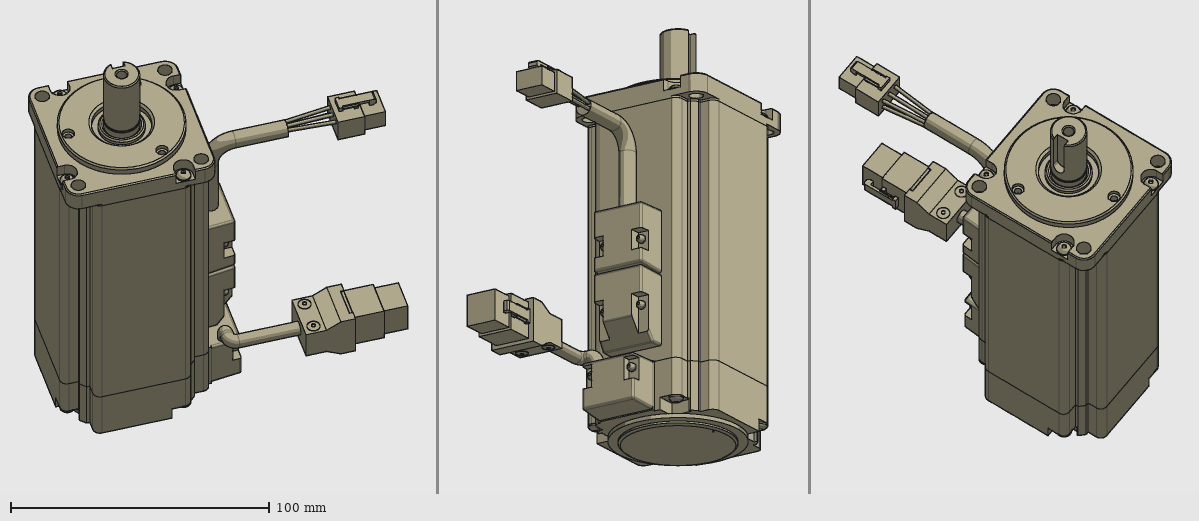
import cadquery as cq
import math


total_height = 169.7
width = 60.0
half_width = width / 2

shaft_length = 30.0
flange_face = total_height - shaft_length
flange_thickness = 7.8
flange_bottom = flange_face - flange_thickness
flange_step = 0.8
frame_top = flange_bottom - flange_step
cover_top = 24.0
cover_bottom = 3.5
rear_plate_bottom = 1.9
rear_disc_bottom = 0.25

face_half_width = 16.8
lobe_radius = 2.9
boss_half_width = 23.2
boss_chamfer_start = 21.0

flange_corner_radius = 5.3
flange_chamfer = 0.5
bolt_offset = 24.8
bolt_hole_radius = 5.6 / 2
pilot_radius = 25.0
pilot_height = 3.0
pilot_chamfer = 0.7
pilot_top = flange_face + pilot_height
jack_hole_circle = 21.5
jack_counterbore_radius = 2.4
jack_hole_radius = 1.4
jack_counterbore_depth = 1.7
jack_hole_depth = 5.1
jack_hole_angles = (30, 150, 270)
seal_bore_radius = 11.7
seal_bore_chamfer = 1.0
seal_bore_depth = 3.0
seal_lip_radius = 9.2
seal_lip_height = 2.0
seal_lip_chamfer = 0.7

screw_x = 17.0
screw_y = -27.0
screw_head_radius = 2.9
screw_head_height = 2.2
front_slot_radius = 3.9
front_slot_depth = 5.0
rear_pocket_left = 11.5
rear_pocket_right = 20.4
rear_pocket_inset = 8.1
rear_pocket_height = 5.1

shaft_radius = 14.1 / 2
shaft_chamfer = 0.5
key_width = 5.1
key_floor = 3.9
key_bottom = 149.5
ring_groove_level = 144.0
ring_groove_width = 0.8
ring_groove_depth = 0.2
centre_hole_radius = 2.0
centre_hole_chamfer = 0.5
centre_hole_depth = 10.2

rear_plate_radius = 27.2
rear_disc_radius = 23.2
rear_disc_chamfer = 0.8
nub_radius = 0.3
nub_x = -20.2
nub_y = 6.0

outlet_face = 42.6
outlet_base_half_width = 12.0
outlet_face_half_width = 11.0
outlet_edge_radius = 0.8
power_outlet_top = 85.9
power_outlet_bottom = 61.1
blank_outlet_top = 60.0
blank_outlet_slope_top = 39.5
blank_outlet_bottom = 29.9
blank_outlet_slope_end = 35.1
power_outlet_draft = 1.2
blank_outlet_draft = 0.8
power_notch = (66.7, 75.0)
power_outlet_screw_z = 72.0
blank_notch = (32.2, 48.5)
blank_outlet_screw_z = 44.8
outlet_notch_floor = 38.0
outlet_notch_depth = 4.4
outlet_screw_radius = 1.7
outlet_screw_height = 2.7

encoder_outlet_x = 3.7
encoder_outlet_face = 43.8
encoder_outlet_base_half_width = 12.7
encoder_outlet_face_half_width = 11.9
encoder_outlet_bottom = 4.4
encoder_outlet_draft = 0.3
encoder_notch = (13.2, 22.5)
encoder_outlet_screw_z = 19.0
encoder_notch_floor = 40.2
outlet_rim_thickness = 1.4

power_cable_radius = 3.4
power_cable_y = 35.5
power_cable_z = 119.6
power_bend_radius = 9.7
power_cable_end = 66.4
wire_radius = 0.76
wire_overlap = 0.5
wire_spacing_at_cable = 2.2
wire_spacing_at_connector = 4.0
wire_rise_at_cable = 1.2
wire_rise_at_connector = 2.0
power_connector_back = 85.2
power_connector_step = 96.0
power_connector_front = 104.7
power_rear_size = (14.3, 9.8)
power_front_size = (11.9, 7.8)
power_latch_front = 102.2

encoder_cable_radius = 2.7
encoder_riser_x = 12.7
encoder_cable_y = 37.7
encoder_cable_z = 28.3
encoder_bend_radius = 3.2
connector_x = 20.4
shell_back = 65.5
shell_neck_end = 73.8
shell_slope_end = 79.6
shell_front = 85.5
shell_half_width = half_width - connector_x
shell_half_height = 9.0
shell_neck_half_height = 6.0
encoder_connector_step = 97.7
encoder_connector_front = 107.6
encoder_rear_size = (15.0, 15.0)
encoder_front_size = (12.9, 12.9)
encoder_latch_front = 104.4
clamp_screw_offset = 6.1
clamp_screw_y = 69.5
clamp_screw_radius = 2.5
clamp_screw_height = 0.7
label_groove_width = 12.2
label_groove_length = 1.4
label_groove_depth = 0.5

latch_length = 15.3
latch_half_width = 2.0
latch_plate_half_width = 2.9
latch_top = 3.0
latch_underside = 1.9
latch_hook_length = 2.7
latch_stem_start = 7.1
latch_stem_end = 8.8
latch_heel_length = 1.5
latch_heel_bottom = 1.2
latch_tip_bevel = 0.7
latch_plate_thickness = 0.5

QUARTER_TURNS = (0, 90, 180, 270)


def block(x_range, y_range, z_range):
    """A box given by its lower and upper limit along each axis."""
    (x0, x1), (y0, y1), (z0, z1) = x_range, y_range, z_range
    return cq.Workplane("XY").box(x1 - x0, y1 - y0, z1 - z0, centered=False).translate((x0, y0, z0))


def disc(radius, z_bottom, z_top):
    """A solid cylinder on the Z axis."""
    return cq.Workplane("XY").workplane(offset=z_bottom).circle(radius).extrude(z_top - z_bottom)


def countersink(hole_radius, depth, z_top):
    """A 45 degree cone that widens a hole up to the face at z_top."""
    base = cq.Vector(0, 0, z_top - depth)
    return cq.Workplane(cq.Solid.makeCone(hole_radius, hole_radius + depth, depth, base))


def with_quarter_turn_screws(body, pocket, head):
    """Cut the pocket and seat the screw head in it, four times around the motor axis."""
    for angle in QUARTER_TURNS:
        body = body.cut(pocket.rotate((0, 0, 0), (0, 0, 1), angle))
        body = body.union(head.rotate((0, 0, 0), (0, 0, 1), angle))
    return body


def domed_head(radius, height):
    """A domed screw head standing on Z = 0, with a round recess in its crown."""
    shoulder = height * 0.3
    dome = (
        cq.Workplane("XZ")
        .lineTo(radius, 0)
        .lineTo(radius, shoulder)
        .threePointArc((radius * 0.6, height * 0.83), (0, height))
        .close()
        .revolve(360, (0, 0, 0), (0, 1, 0))
    )
    return dome.cut(disc(radius * 0.3, height / 2, height * 2))


def frame_section(z_bottom, z_top):
    """The square motor section: four flat faces with rounded lobes, a stepped boss in each corner."""
    lobe_edge = face_half_width + lobe_radius
    lobe_start = half_width - lobe_radius
    mid = lobe_radius * math.sqrt(0.5)
    outline = cq.Workplane("XY").workplane(offset=z_bottom).moveTo(half_width, -face_half_width)
    for angle in QUARTER_TURNS:
        cosine = round(math.cos(math.radians(angle)))
        sine = round(math.sin(math.radians(angle)))

        def turned(x, y):
            return (x * cosine - y * sine, x * sine + y * cosine)

        outline = (
            outline.lineTo(*turned(half_width, face_half_width))
            .threePointArc(turned(lobe_start + mid, face_half_width + mid), turned(lobe_start, lobe_edge))
            .lineTo(*turned(boss_half_width, lobe_edge))
            .lineTo(*turned(boss_half_width, boss_chamfer_start))
            .lineTo(*turned(boss_chamfer_start, boss_half_width))
            .lineTo(*turned(lobe_edge, boss_half_width))
            .lineTo(*turned(lobe_edge, lobe_start))
            .threePointArc(turned(face_half_width + mid, lobe_start + mid), turned(face_half_width, half_width))
        )
    return outline.close().extrude(z_top - z_bottom)


def drafted_outlet(side_outline, base_half_width, face_half_width_x, base_y, face_y):
    """A box on the +Y side: a YZ side outline whose width narrows towards its outer face."""
    side = cq.Workplane("YZ").polyline(side_outline).close().extrude(base_half_width, both=True)
    plan = (
        cq.Workplane("XY")
        .polyline(
            [
                (-base_half_width, base_y),
                (base_half_width, base_y),
                (face_half_width_x, face_y),
                (-face_half_width_x, face_y),
            ]
        )
        .close()
        .extrude(total_height)
    )
    return side.intersect(plan).edges("not <Y").fillet(outlet_edge_radius)


def with_side_screws(outlet, x_half_width, notch_floor, notch_z_range, screw_z):
    """Cut a screw notch into both sides of an outlet and seat a domed screw in each."""
    inner = x_half_width - outlet_notch_depth
    head = domed_head(outlet_screw_radius, outlet_screw_height).rotate((0, 0, 0), (1, 0, 0), -90)
    for side in (-1, 1):
        x_range = sorted((side * inner, side * half_width))
        outlet = outlet.cut(block(x_range, (notch_floor, half_width * 2), notch_z_range))
        outlet = outlet.union(head.translate((side * (inner + outlet_screw_radius), notch_floor, screw_z)))
    return outlet


def make_flange():
    flange = (
        cq.Workplane("XY")
        .workplane(offset=flange_bottom)
        .rect(width, width)
        .extrude(flange_thickness)
        .edges("|Z")
        .fillet(flange_corner_radius)
        .faces(">Z")
        .edges()
        .chamfer(flange_chamfer)
    )
    flange = flange.union(frame_section(frame_top, flange_bottom))
    flange = flange.union(disc(pilot_radius, flange_face, pilot_top).faces(">Z").edges().chamfer(pilot_chamfer))

    for x in (-bolt_offset, bolt_offset):
        for y in (-bolt_offset, bolt_offset):
            flange = flange.cut(disc(bolt_hole_radius, frame_top, flange_face).translate((x, y, 0)))

    jack_hole = disc(jack_counterbore_radius, pilot_top - jack_counterbore_depth, pilot_top)
    jack_hole = jack_hole.union(disc(jack_hole_radius, pilot_top - jack_hole_depth, pilot_top))
    for angle in jack_hole_angles:
        flange = flange.cut(jack_hole.translate((jack_hole_circle, 0, 0)).rotate((0, 0, 0), (0, 0, 1), angle))

    seal_floor = pilot_top - seal_bore_depth
    flange = flange.cut(disc(seal_bore_radius, seal_floor, pilot_top))
    flange = flange.cut(countersink(seal_bore_radius, seal_bore_chamfer, pilot_top))
    lip_top = seal_floor + seal_lip_height
    lip = disc(seal_lip_radius, seal_floor, lip_top).faces(">Z").edges().chamfer(seal_lip_chamfer)
    flange = flange.union(lip).cut(disc(shaft_radius, frame_top, pilot_top))
    flange = flange.cut(countersink(shaft_radius, seal_lip_chamfer, lip_top))

    slot_floor = flange_face - front_slot_depth
    slot = disc(front_slot_radius, slot_floor, flange_face).translate((screw_x, screw_y, 0))
    slot = slot.union(
        block(
            (screw_x - front_slot_radius, screw_x + front_slot_radius),
            (-half_width, screw_y),
            (slot_floor, flange_face),
        )
    )
    head = domed_head(screw_head_radius, screw_head_height).translate((screw_x, screw_y, slot_floor))
    return with_quarter_turn_screws(flange, slot, head)


def make_shaft():
    shaft = disc(shaft_radius, frame_top, total_height).faces(">Z").edges().chamfer(shaft_chamfer)
    groove = disc(shaft_radius, ring_groove_level, ring_groove_level + ring_groove_width)
    groove = groove.cut(disc(shaft_radius - ring_groove_depth, frame_top, total_height))
    shaft = shaft.cut(groove)

    key_round_centre = key_bottom + key_width / 2
    keyway = block(
        (-shaft_radius, -key_floor), (-key_width / 2, key_width / 2), (key_round_centre, total_height)
    )
    key_end = (
        cq.Workplane("YZ")
        .workplane(offset=-shaft_radius)
        .center(0, key_round_centre)
        .circle(key_width / 2)
        .extrude(shaft_radius - key_floor)
    )
    shaft = shaft.cut(keyway.union(key_end))

    centre_hole = disc(centre_hole_radius, total_height - centre_hole_depth, total_height)
    shaft = shaft.cut(centre_hole)
    return shaft.cut(countersink(centre_hole_radius, centre_hole_chamfer, total_height))


def make_frame():
    frame = frame_section(cover_top, frame_top)

    power_outlet = drafted_outlet(
        [
            (half_width, power_outlet_bottom - power_outlet_draft),
            (half_width, power_outlet_top),
            (outlet_face, power_outlet_top),
            (outlet_face, power_outlet_bottom),
        ],
        outlet_base_half_width,
        outlet_face_half_width,
        half_width,
        outlet_face,
    )
    power_outlet = with_side_screws(
        power_outlet, outlet_face_half_width, outlet_notch_floor, power_notch, power_outlet_screw_z
    )

    blank_outlet = drafted_outlet(
        [
            (half_width, blank_outlet_bottom),
            (half_width, blank_outlet_top - blank_outlet_draft),
            (outlet_face, blank_outlet_top),
            (outlet_face, blank_outlet_slope_top),
            (blank_outlet_slope_end, blank_outlet_bottom),
        ],
        outlet_base_half_width,
        outlet_face_half_width,
        half_width,
        outlet_face,
    )
    blank_outlet = with_side_screws(
        blank_outlet, outlet_face_half_width, outlet_notch_floor, blank_notch, blank_outlet_screw_z
    )
    return frame.union(power_outlet).union(blank_outlet)


def make_encoder_cover():
    cover = frame_section(cover_bottom, cover_top)
    plate = disc(rear_plate_radius, rear_plate_bottom, cover_bottom)
    rear_disc = disc(rear_disc_radius, rear_disc_bottom, rear_plate_bottom)
    rear_disc = rear_disc.faces("<Z").edges().chamfer(rear_disc_chamfer)
    nub = disc(nub_radius, 0, rear_disc_bottom).translate((nub_x, nub_y, 0))

    pocket_top = cover_bottom + rear_pocket_height
    pocket = block(
        (rear_pocket_left, rear_pocket_right),
        (-half_width, rear_pocket_inset - half_width),
        (cover_bottom, pocket_top),
    )
    head = domed_head(screw_head_radius, screw_head_height).rotate((0, 0, 0), (1, 0, 0), 180)
    head = head.translate((screw_x, screw_y, pocket_top))
    cover = with_quarter_turn_screws(cover, pocket, head)

    rim_face = half_width + outlet_rim_thickness
    rim = block(
        (-encoder_outlet_base_half_width, encoder_outlet_base_half_width),
        (half_width, rim_face),
        (cover_bottom, cover_top),
    )
    outlet = drafted_outlet(
        [
            (rim_face, encoder_outlet_bottom - encoder_outlet_draft),
            (rim_face, cover_top),
            (encoder_outlet_face, cover_top),
            (encoder_outlet_face, encoder_outlet_bottom + encoder_outlet_draft),
        ],
        encoder_outlet_base_half_width,
        encoder_outlet_face_half_width,
        rim_face,
        encoder_outlet_face,
    )
    outlet = with_side_screws(
        outlet, encoder_outlet_face_half_width, encoder_notch_floor, encoder_notch, encoder_outlet_screw_z
    )
    outlet = outlet.union(rim).translate((encoder_outlet_x, 0, 0))
    return cover.union(plate).union(rear_disc).union(nub).union(outlet)


def make_latch():
    """A latch lever on Z = 0 pointing along +Y, with its front tip at Y = 0."""
    heel_start = latch_heel_length - latch_length
    lever = (
        cq.Workplane("YZ")
        .polyline(
            [
                (0, latch_top - latch_tip_bevel),
                (-latch_tip_bevel, latch_top),
                (-latch_length, latch_top),
                (-latch_length, latch_heel_bottom),
                (heel_start, latch_heel_bottom),
                (heel_start, latch_underside),
                (-latch_hook_length, latch_underside),
                (-latch_hook_length, 0),
                (-latch_hook_length / 2, 0),
                (0, latch_underside / 2),
            ]
        )
        .close()
        .extrude(latch_half_width, both=True)
    )
    stem = block(
        (-latch_half_width, latch_half_width), (-latch_stem_end, -latch_stem_start), (0, latch_underside)
    )
    plate_x = (-latch_plate_half_width, latch_plate_half_width)
    plate_z = (latch_underside, latch_underside + latch_plate_thickness)
    plate = block(plate_x, (heel_start, -latch_stem_start), plate_z)
    heel = block(plate_x, (-latch_length, heel_start), (latch_heel_bottom, latch_top))
    return lever.union(stem).union(plate).union(heel)


def plug(size, y_back, y_front, x, z):
    """A connector block of the given X and Z size, centred on x and z."""
    size_x, size_z = size
    return block((x - size_x / 2, x + size_x / 2), (y_back, y_front), (z - size_z / 2, z + size_z / 2))


def wire(start, end):
    start, end = cq.Vector(*start), cq.Vector(*end)
    run = end - start
    return cq.Workplane(cq.Solid.makeCylinder(wire_radius, run.Length, start, run))


def make_power_lead():
    bend_mid = power_bend_radius * (1 - math.sqrt(0.5))
    path = (
        cq.Workplane("YZ")
        .moveTo(power_cable_y, power_outlet_top)
        .lineTo(power_cable_y, power_cable_z - power_bend_radius)
        .threePointArc(
            (power_cable_y + bend_mid, power_cable_z - bend_mid),
            (power_cable_y + power_bend_radius, power_cable_z),
        )
        .lineTo(power_cable_end, power_cable_z)
    )
    lead = (
        cq.Workplane("XY", origin=(0, power_cable_y, power_outlet_top)).circle(power_cable_radius).sweep(path)
    )
    lead = lead.union(plug(power_rear_size, power_connector_back, power_connector_step, 0, power_cable_z))
    lead = lead.union(plug(power_front_size, power_connector_step, power_connector_front, 0, power_cable_z))

    for column, row in ((-1, 1), (0, 1), (1, 1), (-1, -1)):
        at_cable = (
            wire_spacing_at_cable * column,
            power_cable_end - wire_overlap,
            power_cable_z + wire_rise_at_cable * row,
        )
        at_connector = (
            wire_spacing_at_connector * column,
            power_connector_back + wire_overlap,
            power_cable_z + wire_rise_at_connector * row,
        )
        lead = lead.union(wire(at_cable, at_connector))

    connector_top = power_cable_z + power_rear_size[1] / 2
    return lead.union(make_latch().translate((0, power_latch_front, connector_top)))


def make_encoder_lead():
    bend = encoder_bend_radius
    bend_mid = bend * (1 - math.sqrt(0.5))
    start = cq.Vector(encoder_riser_x, encoder_cable_y, cover_top)
    first_corner = cq.Vector(encoder_riser_x, encoder_cable_y, encoder_cable_z)
    second_corner = cq.Vector(connector_x, encoder_cable_y, encoder_cable_z)
    riser_top = first_corner - cq.Vector(0, 0, bend)
    crossing_start = first_corner + cq.Vector(bend, 0, 0)
    crossing_end = second_corner - cq.Vector(bend, 0, 0)
    run_start = second_corner + cq.Vector(0, bend, 0)
    first_bend_mid = first_corner + cq.Vector(bend_mid, 0, -bend_mid)
    second_bend_mid = second_corner + cq.Vector(-bend_mid, bend_mid, 0)
    path = cq.Wire.assembleEdges(
        [
            cq.Edge.makeLine(start, riser_top),
            cq.Edge.makeThreePointArc(riser_top, first_bend_mid, crossing_start),
            cq.Edge.makeLine(crossing_start, crossing_end),
            cq.Edge.makeThreePointArc(crossing_end, second_bend_mid, run_start),
            cq.Edge.makeLine(run_start, cq.Vector(connector_x, shell_back, encoder_cable_z)),
        ]
    )
    lead = cq.Workplane("XY", origin=start.toTuple()).circle(encoder_cable_radius).sweep(path)

    upper_outline = [
        (shell_back, shell_neck_half_height),
        (shell_neck_end, shell_neck_half_height),
        (shell_slope_end, shell_half_height),
        (shell_front, shell_half_height),
    ]
    lower_outline = [(y, -z) for y, z in reversed(upper_outline)]
    shell = (
        cq.Workplane("YZ", origin=(connector_x, 0, encoder_cable_z))
        .polyline(upper_outline + lower_outline)
        .close()
        .extrude(shell_half_width, both=True)
    )
    shell_top = encoder_cable_z + shell_half_height
    shell = shell.cut(
        block(
            (connector_x - label_groove_width / 2, connector_x + label_groove_width / 2),
            (shell_front - label_groove_length, shell_front),
            (shell_top - label_groove_depth, shell_top),
        )
    )
    head = domed_head(clamp_screw_radius, clamp_screw_height)
    heads = head.translate((0, 0, shell_neck_half_height))
    heads = heads.union(heads.rotate((0, 0, 0), (1, 0, 0), 180))
    for offset in (-clamp_screw_offset, clamp_screw_offset):
        shell = shell.union(heads.translate((connector_x + offset, clamp_screw_y, encoder_cable_z)))
    lead = lead.union(shell)

    lead = lead.union(
        plug(encoder_rear_size, shell_front, encoder_connector_step, connector_x, encoder_cable_z)
    )
    lead = lead.union(
        plug(encoder_front_size, encoder_connector_step, encoder_connector_front, connector_x, encoder_cable_z)
    )
    latch = make_latch().rotate((0, 0, 0), (0, 1, 0), -90)
    connector_side = connector_x - encoder_rear_size[0] / 2
    return lead.union(latch.translate((connector_side, encoder_latch_front, encoder_cable_z)))


flange = make_flange()
shaft = make_shaft()
frame = make_frame()
encoder_cover = make_encoder_cover()
power_lead = make_power_lead()
encoder_lead = make_encoder_lead()

bodies = [flange, shaft, frame, encoder_cover, power_lead, encoder_lead]
result = cq.Compound.makeCompound([body.val() for body in bodies])